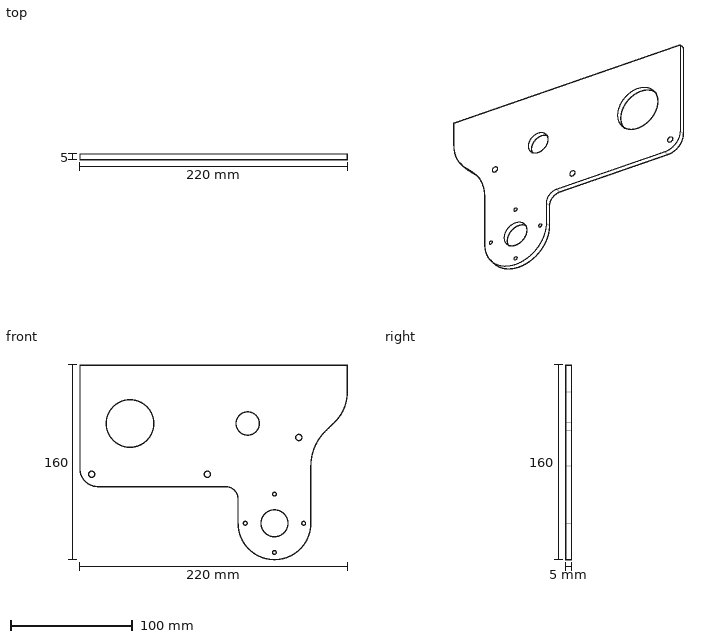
import cadquery as cq

length = 220.0
height = 160.0
thickness = 5.0

body_height = 100.0
lobe_radius = 30.0
lobe_x = 160.0
lobe_z = lobe_radius
lobe_left = lobe_x - lobe_radius
lobe_right = lobe_x + lobe_radius
body_bottom = height - body_height

shoulder_top = height - 37.0
shoulder_bottom = height - 65.7
shoulder_top_radius = 35.0
shoulder_bottom_radius = 40.0

body_corner_radius = 15.0
lobe_corner_radius = 10.0

bore_z = height - 48.0
bores = [
    (41.3, 39.0),
    (138.0, 19.0),
]

mount_diameter = 5.0
lower_mount_z = body_bottom + 10.3
mount_points = [
    (9.8, lower_mount_z),
    (104.8, lower_mount_z),
    (180.0, height - 59.5),
]

lobe_bore_diameter = 22.0
screw_diameter = 3.0
screw_circle_radius = 24.0
screw_count = 4


def front_plane():
    """Sketch plane whose local x, y are the part's X, Z; its normal is -Y."""
    return cq.Workplane("XZ")


def make_plate():
    plate = (
        front_plane()
        .moveTo(0, height)
        .lineTo(length, height)
        .lineTo(length, shoulder_top)
        .lineTo(lobe_right, shoulder_bottom)
        .lineTo(lobe_right, lobe_z)
        .threePointArc((lobe_x, lobe_z - lobe_radius), (lobe_left, lobe_z))
        .lineTo(lobe_left, body_bottom)
        .lineTo(0, body_bottom)
        .close()
        .extrude(-thickness)
    )
    corner_roundings = [
        ((length, shoulder_top), shoulder_top_radius),
        ((lobe_right, shoulder_bottom), shoulder_bottom_radius),
        ((lobe_left, body_bottom), lobe_corner_radius),
        ((0, body_bottom), body_corner_radius),
    ]
    for (x, z), radius in corner_roundings:
        corner_edge = cq.selectors.NearestToPointSelector((x, thickness / 2, z))
        plate = plate.edges("|Y").edges(corner_edge).fillet(radius)
    return plate


def hole_tools(points, diameter):
    """Cylinders through the full thickness at the given (x, z) points."""
    return front_plane().pushPoints(points).circle(diameter / 2).extrude(-thickness)


def screw_hole_tools():
    return (
        front_plane()
        .center(lobe_x, lobe_z)
        .polarArray(screw_circle_radius, 0, 360, screw_count)
        .circle(screw_diameter / 2)
        .extrude(-thickness)
    )


result = make_plate()
for bore_x, bore_diameter in bores:
    result = result.cut(hole_tools([(bore_x, bore_z)], bore_diameter))
result = result.cut(hole_tools(mount_points, mount_diameter))
result = result.cut(hole_tools([(lobe_x, lobe_z)], lobe_bore_diameter))
result = result.cut(screw_hole_tools())